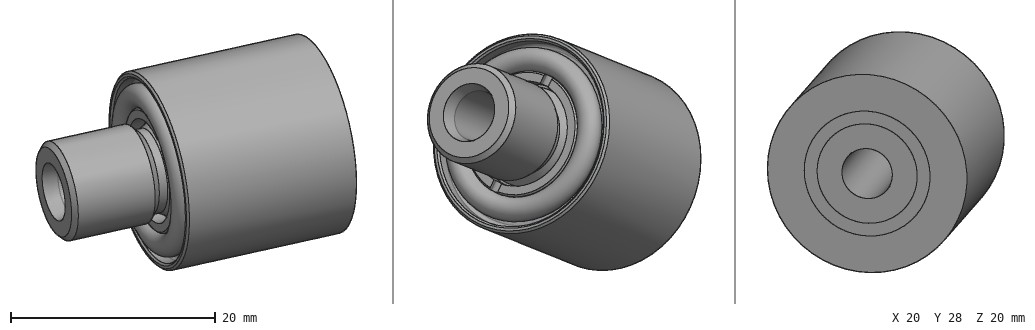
import cadquery as cq
import math


overall_length = 28.0

housing_radius = 10.0
housing_length = 18.0
rim_outer_chamfer = 0.22
rim_inner_chamfer = 0.2
recess_radius = 9.3
recess_corner_radius = 0.42

ring_center_radius = 7.5
ring_section_radius = 1.2
ring_protrusion = 0.6

bushing_radius = ring_center_radius - ring_section_radius
bushing_face_depth = 0.1
bushing_edge_chamfer = 0.17
counterbore_radius = 5.25
slot_width = 1.0
slot_wall_height = 0.35
slot_angle = 60

stud_radius = 5.0
stud_exposed_length = overall_length - housing_length
stud_back_chamfer = 0.75
stud_end_chamfer = 0.5
shoulder_start = -1.32
neck_radius = stud_radius - stud_back_chamfer
neck_end_depth = 0.35
neck_cone_angle = 30
cone_end_depth = neck_end_depth + (stud_radius - neck_radius) / math.tan(math.radians(neck_cone_angle))
bore_radius = 2.52
bore_mouth_radius = 2.9
bore_mouth_depth = 1.5

ring_center_depth = ring_section_radius - ring_protrusion
recess_depth = ring_center_depth + ring_section_radius


def revolve_profile(profile):
    """Turn a closed (radius, depth) profile about the Y axis."""
    return profile.close().revolve(360, (0, 0, 0), (0, 1, 0))


def make_housing():
    """Sleeve with a stepped front recess whose floor corner is rounded."""
    profile = (
        cq.Workplane("XY")
        .moveTo(bushing_radius, housing_length)
        .lineTo(housing_radius, housing_length)
        .lineTo(housing_radius, rim_outer_chamfer)
        .lineTo(housing_radius - rim_outer_chamfer, 0)
        .lineTo(recess_radius + rim_inner_chamfer, 0)
        .lineTo(recess_radius, rim_inner_chamfer)
        .lineTo(recess_radius, recess_depth - recess_corner_radius)
        .radiusArc((recess_radius - recess_corner_radius, recess_depth), -recess_corner_radius)
        .lineTo(bushing_radius, recess_depth)
    )
    return revolve_profile(profile)


def make_ring():
    """O-ring resting on the recess floor around the bushing."""
    section = cq.Workplane("XY").center(ring_center_radius, ring_center_depth).circle(ring_section_radius)
    return section.revolve(360, (-ring_center_radius, 0, 0), (-ring_center_radius, 1, 0))


def make_slot_cutter():
    """Straight-walled, round-bottomed bar lying across the whole bushing face."""
    half_width = slot_width / 2
    wall_end = bushing_face_depth + slot_wall_height
    return (
        cq.Workplane("YZ")
        .moveTo(bushing_face_depth, -half_width)
        .lineTo(wall_end, -half_width)
        .threePointArc((wall_end + half_width, 0), (wall_end, half_width))
        .lineTo(bushing_face_depth, half_width)
        .close()
        .extrude(bushing_radius, both=True)
        .rotate((0, 0, 0), (0, 1, 0), -slot_angle)
    )


def make_bushing():
    """Guide bushing with a counterbored mouth and two round-bottomed vent slots."""
    profile = (
        cq.Workplane("XY")
        .moveTo(stud_radius, housing_length)
        .lineTo(bushing_radius, housing_length)
        .lineTo(bushing_radius, bushing_face_depth + bushing_edge_chamfer)
        .lineTo(bushing_radius - bushing_edge_chamfer, bushing_face_depth)
        .lineTo(counterbore_radius, bushing_face_depth)
        .lineTo(counterbore_radius, cone_end_depth)
        .lineTo(stud_radius, cone_end_depth)
    )
    return revolve_profile(profile).cut(make_slot_cutter())


def make_stud():
    """Stud with chamfered ends, a neck that widens again inside the bushing, and a tapered bore mouth."""
    tip = -stud_exposed_length
    profile = (
        cq.Workplane("XY")
        .moveTo(bore_mouth_radius, tip)
        .lineTo(stud_radius - stud_end_chamfer, tip)
        .lineTo(stud_radius, tip + stud_end_chamfer)
        .lineTo(stud_radius, shoulder_start)
        .lineTo(neck_radius, shoulder_start + stud_back_chamfer)
        .lineTo(neck_radius, neck_end_depth)
        .lineTo(stud_radius, cone_end_depth)
        .lineTo(stud_radius, housing_length)
        .lineTo(bore_radius, housing_length)
        .lineTo(bore_radius, tip + bore_mouth_depth)
    )
    return revolve_profile(profile)


housing = make_housing()
ring = make_ring()
bushing = make_bushing()
stud = make_stud()

result = cq.Compound.makeCompound([housing.val(), ring.val(), bushing.val(), stud.val()])